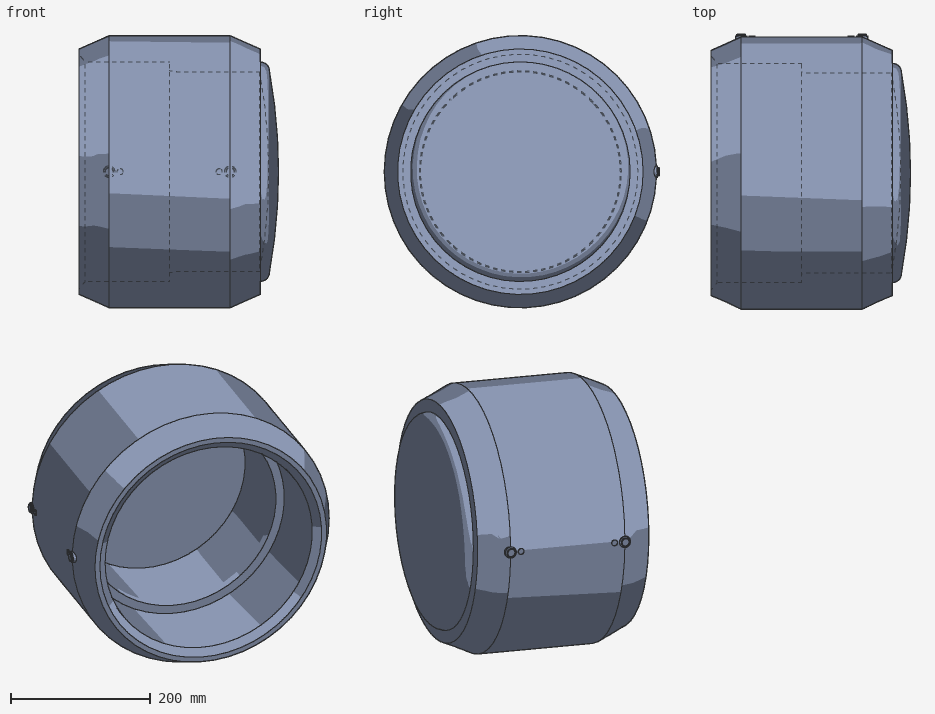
import cadquery as cq

sleeve_length = 260.0
sleeve_radius = 195.0
taper_length = 43.5
end_radius = 175.7

mouth_radius = 168.2
lead_in_depth = 9.0
socket_radius = 157.2
socket_depth = sleeve_length / 2

stop_thickness = 10.5
stop_radius = 144.5
cap_wall = 14.0
cap_inner_radius = socket_radius - cap_wall
knuckle_length = 13.0
dome_edge_radius = 144.0
overall_length = 286.0
dome_edge_x = sleeve_length + knuckle_length
dome_rise = overall_length - dome_edge_x
dome_radius = (dome_edge_radius**2 + dome_rise**2) / (2 * dome_rise)
dome_center_x = overall_length - dome_radius

terminal_tip_y = 199.0
collar_top_y = 196.2
collar_radius = 8.3
pin_radius = 5.5
bead_radius = 6.5
bead_height = 1.5
indicator_radius = 4.5
indicator_offset = 15.8
embed_depth = 8.0


def dome_x(sphere_radius, distance):
    """X of a spherical dome surface at a given distance from the axis."""
    return dome_center_x + (sphere_radius**2 - distance**2) ** 0.5


def post(x, radius, bottom_y, top_y):
    """Cylinder standing along +Y."""
    return cq.Workplane("XZ", origin=(x, bottom_y, 0)).circle(radius).extrude(bottom_y - top_y)


def make_body():
    inner_dome_radius = dome_radius - cap_wall
    inner_edge_x = dome_x(inner_dome_radius, cap_inner_radius)
    inner_mid_distance = cap_inner_radius / 2
    outer_mid_distance = dome_edge_radius / 2
    knuckle_drop = socket_radius - dome_edge_radius
    diagonal = 0.5**0.5
    knuckle_mid = (
        sleeve_length + knuckle_length * diagonal,
        dome_edge_radius + knuckle_drop * diagonal,
    )
    profile = (
        cq.Workplane("XY")
        .moveTo(0, mouth_radius)
        .lineTo(0, end_radius)
        .lineTo(taper_length, sleeve_radius)
        .lineTo(sleeve_length - taper_length, sleeve_radius)
        .lineTo(sleeve_length, end_radius)
        .lineTo(sleeve_length, socket_radius)
        .threePointArc(knuckle_mid, (dome_edge_x, dome_edge_radius))
        .threePointArc((dome_x(dome_radius, outer_mid_distance), outer_mid_distance), (overall_length, 0))
        .lineTo(overall_length - cap_wall, 0)
        .threePointArc(
            (dome_x(inner_dome_radius, inner_mid_distance), inner_mid_distance),
            (inner_edge_x, cap_inner_radius),
        )
        .lineTo(socket_depth + stop_thickness, cap_inner_radius)
        .lineTo(socket_depth, stop_radius)
        .lineTo(socket_depth, socket_radius)
        .lineTo(lead_in_depth, socket_radius)
        .close()
    )
    return profile.revolve(360, (0, 0, 0), (1, 0, 0))


def make_terminal(x):
    """Collar with a contact pin that carries a wider bead at its tip."""
    bottom_y = sleeve_radius - embed_depth
    collar = post(x, collar_radius, bottom_y, collar_top_y)
    pin = post(x, pin_radius, bottom_y, terminal_tip_y)
    bead = post(x, bead_radius, terminal_tip_y - bead_height, terminal_tip_y)
    bead = bead.faces(">Y").edges().chamfer(bead_radius - pin_radius)
    return collar.union(pin).union(bead)


def make_indicator(x):
    return post(x, indicator_radius, sleeve_radius - embed_depth, collar_top_y)


result = make_body()
for terminal_x, inward in ((taper_length, 1), (sleeve_length - taper_length, -1)):
    result = result.union(make_terminal(terminal_x))
    result = result.union(make_indicator(terminal_x + inward * indicator_offset))

result = result.translate((-sleeve_length / 2, 0, 0))